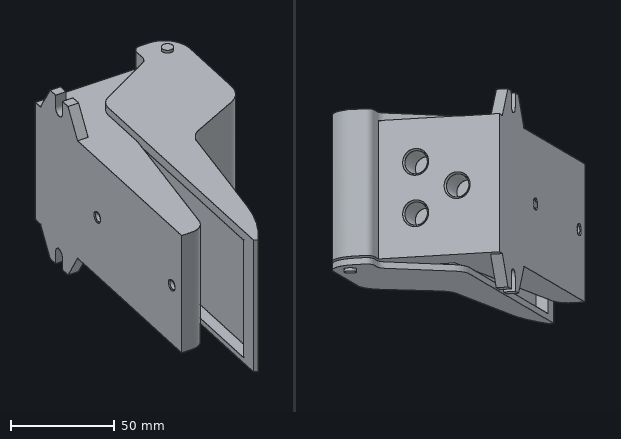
import cadquery as cq
import math


length = 176.0
height = 85.5
tab_span = 98.0
pedal_width = 76.7
body_width = 68.3
shallow_slope = math.tan(math.radians(8))

heel_bottom = 61.6
heel_radius = 14.8
heel_corner_radius = 4.0
pedal_bottom = 24.5
rear_slope_top_x = 12.1
rear_slope_bottom_x = 33.6
rear_top_radius = 5.0
rear_bottom_radius = 9.2
crest_x = 61.8
crest_radius = 13.4
instep_x = 80.8
instep_y = 46.8
instep_radius = 10.5
toe_curve_x = 148.2
toe_curve_y = instep_y - (toe_curve_x - instep_x) * shallow_slope
tip_y = 26.5
tip_bevel = 1.2

cavity_shift = -1.0
cavity_roof = 30.6
cavity_step_x = 58.8
cavity_end = 165.5
front_run = (instep_x - crest_x) / (height - instep_y)
cavity_top_x = cavity_step_x - (height - cavity_roof) * front_run

pin_x = 9.9
pin_y = 75.5
pin_diameter = 6.0
pin_length = 79.9

body_rear = 10.7
body_front = 148.0
body_front_height = 13.0
body_nose_radius = 8.0
hinge_block_front = 31.7

tab_x = 33.0
tab_thickness = 6.0
tab_root_width = 34.8
tab_end_width = 16.9
slot_width = 6.3
slot_depth = 10.4

port_diameter = 11.5
port_mouth_diameter = 13.2
port_depth = 17.6
port_places = [(42.6, 12.7), (42.6, -12.7), (21.5, 0)]
base_hole_diameter = 5.0
base_hole_mouth_diameter = 6.0
base_hole_depth = 10.5
base_hole_places = [68.8, 138.7]


def slab(outline, width):
    """Extrude a closed XY outline symmetrically about Z = 0."""
    return outline.close().extrude(width / 2, both=True)


def round_edge(solid, x, y, radius):
    """Round the widthwise edge nearest to (x, y)."""
    return solid.edges("|Z").edges(cq.NearestToPointSelector((x, y, 0))).fillet(radius)


def make_pedal_blank():
    blank = slab(
        cq.Workplane("XY")
        .moveTo(0, heel_bottom)
        .lineTo(0, height)
        .lineTo(crest_x, height)
        .lineTo(instep_x, instep_y)
        .lineTo(toe_curve_x, toe_curve_y)
        .tangentArcPoint((length, tip_y), relative=False)
        .lineTo(length - tip_bevel, pedal_bottom)
        .lineTo(rear_slope_bottom_x, pedal_bottom)
        .lineTo(rear_slope_top_x, heel_bottom),
        pedal_width,
    )
    corners = [
        (0, heel_bottom, heel_corner_radius),
        (0, height, heel_radius),
        (crest_x, height, crest_radius),
        (instep_x, instep_y, instep_radius),
        (rear_slope_bottom_x, pedal_bottom, rear_bottom_radius),
        (rear_slope_top_x, heel_bottom, rear_top_radius),
    ]
    for x, y, radius in corners:
        blank = round_edge(blank, x, y, radius)
    return blank


def make_cavity():
    """Space between the side plates, open at the heel and underneath."""
    return slab(
        cq.Workplane("XY")
        .lineTo(0, height)
        .lineTo(cavity_top_x, height)
        .lineTo(cavity_step_x, cavity_roof)
        .lineTo(cavity_end, cavity_roof)
        .lineTo(cavity_end, 0),
        body_width,
    ).translate((0, 0, cavity_shift))


def make_body(pedal_blank):
    top_at_block = body_front_height + (body_front - hinge_block_front) * shallow_slope
    base = slab(
        cq.Workplane("XY")
        .moveTo(body_rear, 0)
        .lineTo(body_front, 0)
        .lineTo(body_front, body_front_height)
        .lineTo(hinge_block_front, top_at_block)
        .lineTo(hinge_block_front, heel_bottom)
        .lineTo(body_rear, heel_bottom),
        body_width,
    )
    base = round_edge(base, body_front, body_front_height, body_nose_radius)
    block_space = cq.Workplane("XY").box(hinge_block_front, height, body_width, centered=(False, False, True))
    return base.union(pedal_blank.intersect(block_space))


def make_tabs():
    """Plate across the body whose two ends are slotted mounting tabs."""
    root_z = body_width / 2
    end_z = tab_span / 2
    plate = (
        cq.Workplane("XZ")
        .polyline([
            (tab_x - tab_root_width / 2, -root_z),
            (tab_x - tab_end_width / 2, -end_z),
            (tab_x + tab_end_width / 2, -end_z),
            (tab_x + tab_root_width / 2, -root_z),
            (tab_x + tab_root_width / 2, root_z),
            (tab_x + tab_end_width / 2, end_z),
            (tab_x - tab_end_width / 2, end_z),
            (tab_x - tab_root_width / 2, root_z),
        ])
        .close()
        .extrude(-tab_thickness)
    )
    slot = cq.Workplane("XZ").slot2D(2 * slot_depth, slot_width, 90).extrude(-tab_thickness)
    for side in (1, -1):
        plate = plate.cut(slot.translate((tab_x, 0, side * end_z)))
    return plate


def hole_cutter(start, direction, diameter, mouth_diameter, depth):
    """Blind hole with a 45-degree chamfer at its mouth."""
    point = cq.Vector(*start)
    axis = cq.Vector(*direction)
    bore = cq.Solid.makeCylinder(diameter / 2, depth, point, axis)
    chamfer_depth = (mouth_diameter - diameter) / 2
    mouth = cq.Solid.makeCone(mouth_diameter / 2, diameter / 2, chamfer_depth, point, axis)
    return cq.Workplane(bore).union(cq.Workplane(mouth))


pedal_blank = make_pedal_blank()
pedal = pedal_blank.cut(make_cavity())
pin = (
    cq.Workplane("XY")
    .center(pin_x, pin_y)
    .circle(pin_diameter / 2)
    .extrude(pin_length / 2, both=True)
)
result = pedal.union(make_body(pedal_blank)).union(make_tabs()).union(pin)

for y, z in port_places:
    result = result.cut(
        hole_cutter((body_rear, y, z), (1, 0, 0), port_diameter, port_mouth_diameter, port_depth)
    )
for x in base_hole_places:
    result = result.cut(
        hole_cutter((x, 0, 0), (0, 1, 0), base_hole_diameter, base_hole_mouth_diameter, base_hole_depth)
    )